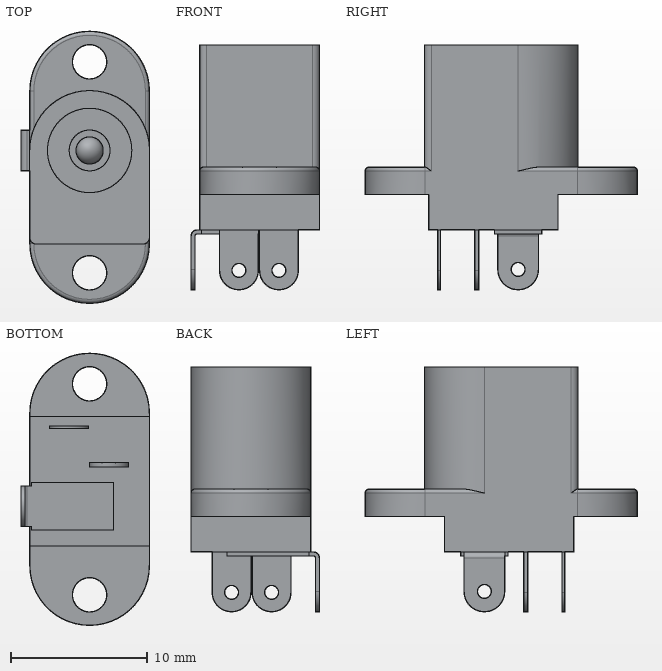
import cadquery as cq
import math


width = 8.8
barrel_radius = width / 2
base_height = 2.6
base_rear_y = 2.95
base_front_y = -6.58
flange_thickness = 2.02
flange_length = 20.0
flange_center_y = -1.25
flange_edge_radius = 0.3
mount_hole_diameter = 2.5
mount_hole_spacing = 15.5
housing_height = 13.6
housing_front_y = 2 * flange_center_y - barrel_radius
housing_corner_radius = 0.5

flange_top = base_height + flange_thickness

bore_diameter = 6.2
bore_floor = flange_top
collar_diameter = 3.0
collar_height = 0.4
pin_diameter = 2.0
pin_tip_depth = 1.0

terminal_drop = 4.4
terminal_hole_diameter = 1.0
overlap = 0.2
blade_width = 2.85
front_blade_x = -1.52
front_blade_y = -5.8
front_blade_thickness = 0.22
rear_blade_x = 1.42
rear_blade_y = -3.05
rear_blade_thickness = 0.32
side_width = 3.0
side_thickness = 0.3
side_outer_x = -5.05
bend_radius = 0.45
plate_width = 3.48
plate_start_x = -4.28
plate_end_x = plate_width / 2


def flange():
    """Rounded-end mounting flange with a rounded top edge and two screw holes."""
    slot = (
        cq.Workplane("XY", origin=(0, flange_center_y, base_height))
        .slot2D(flange_length, width, 90)
        .extrude(flange_thickness)
        .faces(">Z").edges().fillet(flange_edge_radius)
    )
    return (
        slot.faces(">Z").workplane(origin=(0, flange_center_y, flange_top))
        .pushPoints([(0, -mount_hole_spacing / 2), (0, mount_hole_spacing / 2)])
        .hole(mount_hole_diameter)
    )


def base():
    """Rectangular block below the flange."""
    return (
        cq.Workplane("XY")
        .center(0, (base_front_y + base_rear_y) / 2)
        .rect(width, base_rear_y - base_front_y)
        .extrude(base_height)
    )


def housing():
    """D-shaped tower: round behind the barrel axis, square in front of it."""
    tower = (
        cq.Workplane("XY", origin=(0, 0, base_height))
        .moveTo(-width / 2, housing_front_y)
        .lineTo(width / 2, housing_front_y)
        .lineTo(width / 2, 0)
        .threePointArc((0, barrel_radius), (-width / 2, 0))
        .close()
        .extrude(housing_height - base_height)
    )
    return tower.edges("|Z and <Y").fillet(housing_corner_radius)


def cylinder(diameter, bottom, top):
    """Cylinder on the barrel axis."""
    return cq.Workplane("XY", origin=(0, 0, bottom)).circle(diameter / 2).extrude(top - bottom)


def contact_pin():
    """Round-tipped centre pin standing on a low collar in the bore."""
    tip_center = housing_height - pin_tip_depth - pin_diameter / 2
    tip = cq.Workplane("XY", origin=(0, 0, tip_center)).sphere(pin_diameter / 2)
    shank = cylinder(pin_diameter, bore_floor, tip_center)
    collar = cylinder(collar_diameter, bore_floor, bore_floor + collar_height)
    return shank.union(tip).union(collar)


def blade(size, thickness, top):
    """Round-ended blade with an eyelet, in the XZ plane and centred on Y = 0."""
    radius = size / 2
    eye_z = radius - terminal_drop
    outline = (
        cq.Workplane("XZ", origin=(0, thickness / 2, 0))
        .moveTo(-radius, top)
        .lineTo(-radius, eye_z)
        .threePointArc((0, -terminal_drop), (radius, eye_z))
        .lineTo(radius, top)
        .close()
        .extrude(thickness)
    )
    eye = (
        cq.Workplane("XZ", origin=(0, thickness / 2, 0))
        .center(0, eye_z)
        .circle(terminal_hole_diameter / 2)
        .extrude(thickness)
    )
    return outline.cut(eye)


def side_terminal():
    """Blade bent down at the -X side from a wider plate lying under the base."""
    leg_x = side_outer_x + side_thickness / 2
    leg = (
        blade(side_width, side_thickness, -bend_radius)
        .rotate((0, 0, 0), (0, 0, 1), 90)
        .translate((leg_x, 0, 0))
    )
    inner_radius = bend_radius - side_thickness
    bend_x = side_outer_x + bend_radius
    diagonal = math.cos(math.pi / 4)
    bend = (
        cq.Workplane("XZ", origin=(0, side_width / 2, 0))
        .moveTo(side_outer_x, -bend_radius)
        .threePointArc((bend_x - bend_radius * diagonal, bend_radius * (diagonal - 1)), (bend_x, 0))
        .lineTo(plate_start_x, 0)
        .lineTo(plate_start_x, -side_thickness)
        .lineTo(bend_x, -side_thickness)
        .threePointArc(
            (bend_x - inner_radius * diagonal, inner_radius * diagonal - bend_radius),
            (side_outer_x + side_thickness, -bend_radius),
        )
        .close()
        .extrude(side_width)
    )
    plate = (
        cq.Workplane("XY", origin=(0, 0, -side_thickness))
        .center((plate_start_x + plate_end_x) / 2, 0)
        .rect(plate_end_x - plate_start_x, plate_width)
        .extrude(side_thickness)
    )
    return leg.union(bend).union(plate)


body = base().union(flange()).union(housing())
body = body.cut(cylinder(bore_diameter, bore_floor, housing_height)).union(contact_pin())

front_blade = blade(blade_width, front_blade_thickness, overlap)
rear_blade = blade(blade_width, rear_blade_thickness, overlap)
result = (
    body.union(side_terminal())
    .union(front_blade.translate((front_blade_x, front_blade_y, 0)))
    .union(rear_blade.translate((rear_blade_x, rear_blade_y, 0)))
)